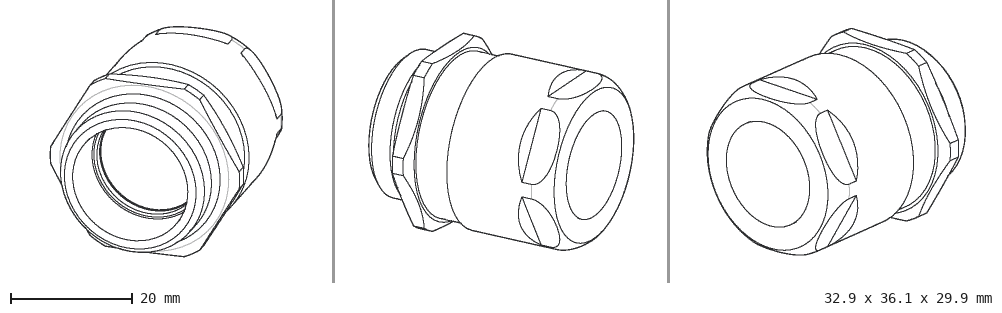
import cadquery as cq
import math

spigot_chamfer_end = 1.15
undercut_start = 4.65
seal_front = 5.45
hex_front = 7.1
hex_back = 10.47
cap_front = 16.8
dome_start = 32.8
total_length = 36.1

spigot_mouth_radius = 11.45
spigot_radius = 25.0 / 2
undercut_radius = 11.8
neck_radius = 28.15 / 2
cap_radius = 29.7 / 2
cap_end_radius = 13.07
seal_radius = 13.4
seal_overlap = 0.05

hex_sides = 6
hex_across_flats = 29.9
hex_corner_radius = 32.9 / 2
hex_chamfer_radius = 14.65
hex_front_chamfer = 0.25
hex_back_chamfer = 1.05

flat_count = 6
flat_apothem = 13.45
flat_end = 31.0
cut_clearance = 0.35

mouth_bore_radius = 20.0 / 2
mouth_bore_depth = 9.75
seat_radius = 9.75
seat_depth = 9.93
inner_bore_radius = 18.45 / 2
inner_bore_depth = 11.35
step_bore_radius = 18.3 / 2
step_bore_depth = 11.55
through_bore_radius = 18.2 / 2


def revolve_about_y(profile):
    """Revolve a closed (radius, Y) profile about the Y axis."""
    return profile.close().revolve(360, (0, 0, 0), (0, 1, 0))


def make_body():
    dome_height = total_length - dome_start
    dome_inset = cap_radius - cap_end_radius
    dome_radius = (dome_height**2 + dome_inset**2) / (2 * dome_inset)
    half_sweep = math.asin(dome_height / dome_radius) / 2
    dome_middle = (
        cap_radius - dome_radius * (1 - math.cos(half_sweep)),
        dome_start + dome_radius * math.sin(half_sweep),
    )
    profile = (
        cq.Workplane("XY")
        .lineTo(spigot_mouth_radius, 0)
        .lineTo(spigot_radius, spigot_chamfer_end)
        .lineTo(spigot_radius, undercut_start)
        .lineTo(undercut_radius, seal_front)
        .lineTo(undercut_radius, hex_back)
        .lineTo(neck_radius, hex_back)
        .lineTo(neck_radius, cap_front)
        .lineTo(cap_radius, cap_front)
        .lineTo(cap_radius, dome_start)
        .threePointArc(dome_middle, (cap_end_radius, total_length))
        .lineTo(0, total_length)
    )
    return revolve_about_y(profile)


def make_hex_collar():
    hex_prism = (
        cq.Workplane("XZ", origin=(0, hex_front, 0))
        .polygon(hex_sides, hex_across_flats / math.cos(math.pi / hex_sides))
        .extrude(hex_front - hex_back)
    )
    turned_envelope = revolve_about_y(
        cq.Workplane("XY")
        .moveTo(0, hex_front)
        .lineTo(hex_chamfer_radius, hex_front)
        .lineTo(hex_corner_radius, hex_front + hex_front_chamfer)
        .lineTo(hex_corner_radius, hex_back - hex_back_chamfer)
        .lineTo(hex_chamfer_radius, hex_back)
        .lineTo(0, hex_back)
    )
    return hex_prism.intersect(turned_envelope)


def make_seal_ring():
    section_radius = (hex_front + seal_overlap - seal_front) / 2
    centre_radius = seal_radius - section_radius
    section = (
        cq.Workplane("XY", origin=(centre_radius, seal_front + section_radius, 0))
        .transformed(rotate=(0, 0, 180))
        .circle(section_radius)
    )
    return section.revolve(360, (centre_radius, 0, 0), (centre_radius, 1, 0))


def make_flat_cutter(angle):
    cut_apothem = cap_radius + cut_clearance
    ramp_end = flat_end - (cut_apothem - flat_apothem)
    half_width = cap_radius / 2
    return (
        cq.Workplane("YZ")
        .moveTo(total_length, flat_apothem)
        .lineTo(flat_end, flat_apothem)
        .lineTo(ramp_end, cut_apothem)
        .lineTo(total_length, cut_apothem)
        .close()
        .extrude(half_width, both=True)
        .rotate((0, 0, 0), (0, 1, 0), angle)
    )


def make_bore():
    return revolve_about_y(
        cq.Workplane("XY")
        .lineTo(mouth_bore_radius, 0)
        .lineTo(mouth_bore_radius, mouth_bore_depth)
        .lineTo(seat_radius, seat_depth)
        .lineTo(inner_bore_radius, seat_depth)
        .lineTo(inner_bore_radius, inner_bore_depth)
        .lineTo(step_bore_radius, inner_bore_depth)
        .lineTo(step_bore_radius, step_bore_depth)
        .lineTo(through_bore_radius, step_bore_depth)
        .lineTo(through_bore_radius, total_length)
        .lineTo(0, total_length)
    )


result = make_body().union(make_hex_collar()).union(make_seal_ring())
for index in range(flat_count):
    result = result.cut(make_flat_cutter(index * 360 / flat_count))
result = result.cut(make_bore())